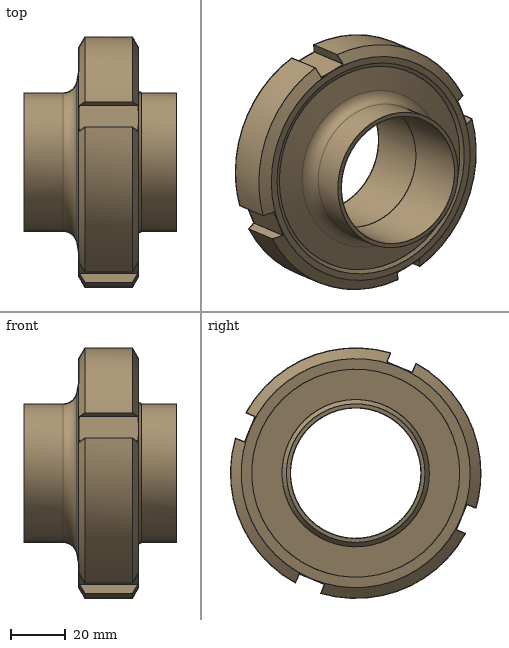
import cadquery as cq
import math

total_length = 56.0
bore_radius = 47.8 / 2
pipe_radius = 50.8 / 2
joint_x = 28.5

neck_start_x = 14.4
neck_middle_x = 17.8
neck_middle_radius = 26.7
neck_end_x = 19.4
neck_end_radius = 58.8 / 2
flange_radius = 76.2 / 2
flange_face_angle = 10.0
face_angle_rad = math.radians(flange_face_angle)
flange_edge_x = neck_end_x + (flange_radius - neck_end_radius) * math.tan(face_angle_rad)

nut_start_x = 20.1
nut_width = 22.0
nut_end_x = nut_start_x + nut_width
nut_radius = 91.9 / 2
nut_face_radius = 84.0 / 2
nut_mouth_radius = 79.1 / 2
nut_chamfer_length = 2.3
slot_count = 4
slot_width = 10.0
slot_floor_radius = 42.1
slot_tilt = 22.5

shoulder_radius = 54.0 / 2
shoulder_end_x = 43.2
shoulder_angle = 30.0
shoulder_start_x = shoulder_end_x - (shoulder_radius - pipe_radius) / math.tan(math.radians(shoulder_angle))


def revolve_about_x(profile):
    """Turn a closed (x, radius) profile into a ring about the X axis."""
    return profile.close().revolve(360, (0, 0, 0), (1, 0, 0))


def make_liner():
    profile = (
        cq.Workplane("XY")
        .moveTo(0, bore_radius)
        .lineTo(0, pipe_radius)
        .lineTo(neck_start_x, pipe_radius)
        .threePointArc((neck_middle_x, neck_middle_radius), (neck_end_x, neck_end_radius))
        .lineTo(flange_edge_x, flange_radius)
        .lineTo(joint_x, flange_radius)
        .lineTo(joint_x, bore_radius)
    )
    return revolve_about_x(profile)


def make_male_part():
    profile = (
        cq.Workplane("XY")
        .moveTo(joint_x, bore_radius)
        .lineTo(joint_x, flange_radius)
        .lineTo(shoulder_start_x, flange_radius)
        .lineTo(shoulder_start_x, shoulder_radius)
        .lineTo(shoulder_end_x, pipe_radius)
        .lineTo(total_length, pipe_radius)
        .lineTo(total_length, bore_radius)
    )
    return revolve_about_x(profile)


def make_nut_slot(angle):
    """Cutter for one flat-bottomed slot, turned about X from the +Z direction."""
    slot_depth = nut_radius - slot_floor_radius
    return (
        cq.Workplane("XY")
        .box(nut_width, slot_width, slot_depth, centered=(False, True, False))
        .translate((nut_start_x, 0, slot_floor_radius))
        .rotate((0, 0, 0), (1, 0, 0), angle)
    )


def make_nut():
    profile = (
        cq.Workplane("XY")
        .moveTo(flange_edge_x, flange_radius)
        .lineTo(nut_start_x, nut_mouth_radius)
        .lineTo(nut_start_x, nut_face_radius)
        .lineTo(nut_start_x + nut_chamfer_length, nut_radius)
        .lineTo(nut_end_x - nut_chamfer_length, nut_radius)
        .lineTo(nut_end_x, nut_face_radius)
        .lineTo(nut_end_x, flange_radius)
    )
    nut = revolve_about_x(profile)
    for index in range(slot_count):
        nut = nut.cut(make_nut_slot(index * 360 / slot_count - slot_tilt))
    return nut


liner = make_liner()
male_part = make_male_part()
nut = make_nut()

result = cq.Compound.makeCompound([liner.val(), male_part.val(), nut.val()])